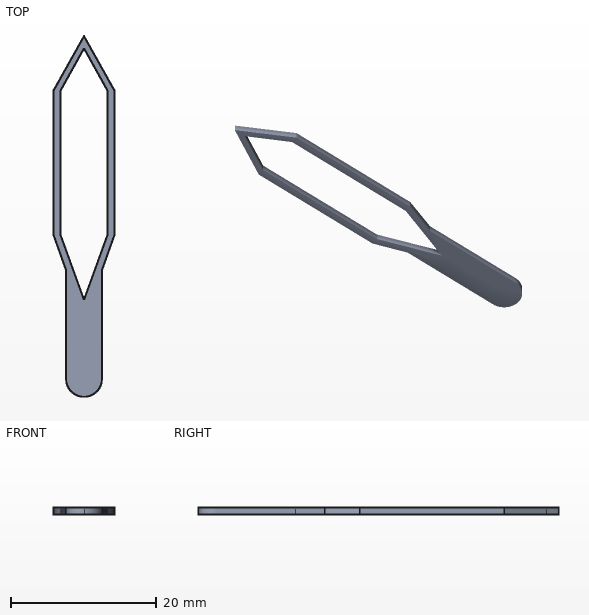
import cadquery as cq

length = 49.75
width = 8.4
thickness = 1.0

handle_width = 4.98
handle_radius = handle_width / 2
handle_top = 17.45

wall = 1.0
lower_shoulder = 22.3
upper_shoulder = 42.25

window_bottom = 13.45
window_top = 48.0
window_half_width = width / 2 - wall


def make_body():
    """Pointed blade outline narrowing to a round-ended handle."""
    half_width = width / 2
    return (
        cq.Workplane("XY")
        .moveTo(-handle_radius, handle_radius)
        .threePointArc((0, 0), (handle_radius, handle_radius))
        .lineTo(handle_radius, handle_top)
        .lineTo(half_width, lower_shoulder)
        .lineTo(half_width, upper_shoulder)
        .lineTo(0, length)
        .lineTo(-half_width, upper_shoulder)
        .lineTo(-half_width, lower_shoulder)
        .lineTo(-handle_radius, handle_top)
        .close()
        .extrude(thickness)
    )


def make_window():
    """Six-sided through opening, pointed at both ends."""
    corners = [
        (0, window_bottom),
        (window_half_width, lower_shoulder),
        (window_half_width, upper_shoulder),
        (0, window_top),
        (-window_half_width, upper_shoulder),
        (-window_half_width, lower_shoulder),
    ]
    return cq.Workplane("XY").polyline(corners).close().extrude(thickness)


result = make_body().cut(make_window())